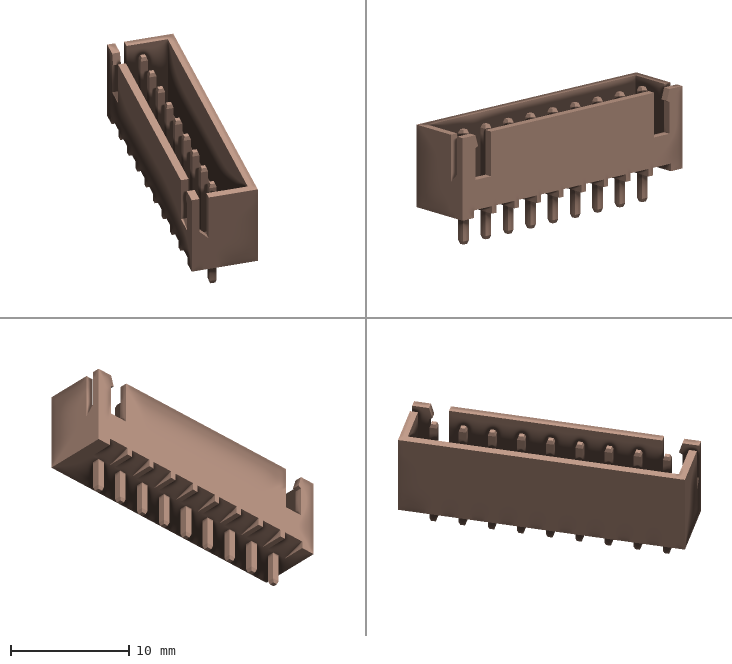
import cadquery as cq


pin_count = 9
pin_pitch = 2.54
pin_width = 0.64
pin_tip_width = 0.42
pin_tip_length = 0.32
pin_below_body = 2.96
pin_top_setback = 0.15

body_length = 24.99
body_depth = 5.84
body_height = 7.25
wall = 0.69
floor_height = wall
pin_row_to_front = 2.49

end_slot_width = 0.81
end_slot_depth_front = 3.34
end_slot_depth_back = end_slot_depth_front + end_slot_width

window_width = 1.75
window_depth = 3.93
catch_reach = 0.3
catch_tip_depth = 1.0
catch_length = 1.15

notch_width = 2.03
notch_height = 0.67
notch_depth = pin_row_to_front - pin_width / 2

front_y = -pin_row_to_front
inner_front_y = front_y + wall
half_length = body_length / 2
pin_row_length = (pin_count - 1) * pin_pitch
pin_positions = [i * pin_pitch - pin_row_length / 2 for i in range(pin_count)]
last_pin_x = pin_positions[-1]


def make_shell():
    """Open-topped box with equal walls all round."""
    outside = cq.Workplane("XY").box(body_length, body_depth, body_height, centered=(True, False, False))
    cavity = (
        cq.Workplane("XY", origin=(0, wall, floor_height))
        .box(
            body_length - 2 * wall,
            body_depth - 2 * wall,
            body_height - floor_height,
            centered=(True, False, False),
        )
    )
    return outside.cut(cavity).translate((0, front_y, 0))


def make_end_slot():
    """Cutter with a sloping floor that runs through both end walls behind the front wall."""
    slot_back_y = inner_front_y + end_slot_width
    return (
        cq.Workplane("YZ", origin=(-half_length, 0, 0))
        .moveTo(inner_front_y, body_height)
        .lineTo(inner_front_y, body_height - end_slot_depth_front)
        .lineTo(slot_back_y, body_height - end_slot_depth_back)
        .lineTo(slot_back_y, body_height)
        .close()
        .extrude(body_length)
    )


def make_right_window():
    """Cutter for the +X window, shaped to leave a pointed catch on its outer edge."""
    inner_x = last_pin_x - window_width / 2
    outer_x = last_pin_x + window_width / 2
    return (
        cq.Workplane("XZ", origin=(0, inner_front_y, 0))
        .moveTo(inner_x, body_height)
        .lineTo(inner_x, body_height - window_depth)
        .lineTo(outer_x, body_height - window_depth)
        .lineTo(outer_x, body_height - catch_length)
        .lineTo(outer_x - catch_reach, body_height - catch_tip_depth)
        .lineTo(outer_x, body_height)
        .close()
        .extrude(wall)
    )


def make_notch(x):
    """Wedge cutter that bevels the bottom of the body from the front face to the pin at x."""
    return (
        cq.Workplane("YZ", origin=(x - notch_width / 2, 0, 0))
        .moveTo(front_y, 0)
        .lineTo(front_y + notch_depth, 0)
        .lineTo(front_y, notch_height)
        .close()
        .extrude(notch_width)
    )


def make_pin_tip(base_z, direction):
    """Tapered pin end that starts at base_z and points up (1) or down (-1)."""
    return (
        cq.Workplane("XY", origin=(0, 0, base_z))
        .rect(pin_width, pin_width)
        .workplane(offset=direction * pin_tip_length)
        .rect(pin_tip_width, pin_tip_width)
        .loft(ruled=True)
    )


def make_pin():
    """Square pin on the Z axis with both ends tapered."""
    shank_bottom = pin_tip_length - pin_below_body
    shank_top = body_height - pin_top_setback - pin_tip_length
    shank = (
        cq.Workplane("XY", origin=(0, 0, shank_bottom))
        .rect(pin_width, pin_width)
        .extrude(shank_top - shank_bottom)
    )
    return shank.union(make_pin_tip(shank_top, 1)).union(make_pin_tip(shank_bottom, -1))


right_window = make_right_window()
result = make_shell().cut(make_end_slot()).cut(right_window).cut(right_window.mirror("YZ"))

pin = make_pin()
for pin_x in pin_positions:
    result = result.cut(make_notch(pin_x))
    result = result.union(pin.translate((pin_x, 0, 0)))